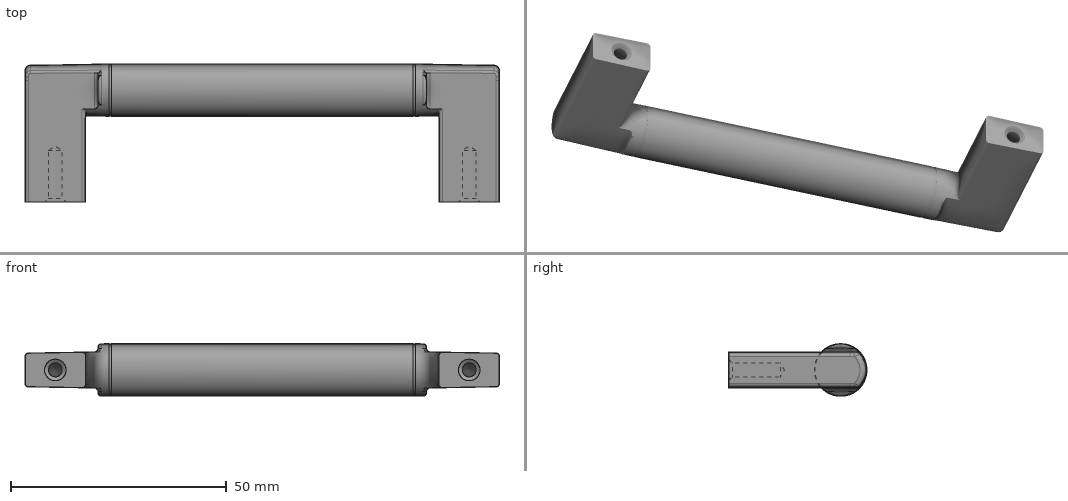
import cadquery as cq
import math

length = 110.0
foot_y = -26.0

tube_radius = 6.1
tube_half_length = 35.6
groove_width = 0.6
groove_depth = 0.1
hub_radius = tube_radius

leg_width = 14.0
leg_outer_x = length / 2
leg_inner_x = leg_outer_x - leg_width
edge_radius = 0.8
corner_radius = 0.4
end_rounding = 1.3

hub_outer_x = 38.1
shoulder_radius = 0.8
blend_back_y = 3.9

draft = math.tan(math.radians(1.0))
arm_length = leg_outer_x - tube_half_length
arm_half_thickness = 4.25

hole_x = leg_outer_x - leg_width / 2
hole_radius = 1.6
hole_mouth_radius = 2.5
hole_depth = 12.0
drill_tip_half_angle = 59
mouth_depth = hole_mouth_radius - hole_radius
drill_tip_depth = hole_radius / math.tan(math.radians(drill_tip_half_angle))


def half_thickness_at(x):
    return arm_half_thickness - draft * (x - tube_half_length)


def make_tube():
    """Grip tube with a shallow turned-down band at each end, next to the hubs."""
    shoulder_x = tube_half_length - groove_width
    core = (
        cq.Workplane("YZ", origin=(-tube_half_length, 0, 0))
        .circle(tube_radius - groove_depth)
        .extrude(2 * tube_half_length)
    )
    grip = (
        cq.Workplane("YZ", origin=(-shoulder_x, 0, 0))
        .circle(tube_radius)
        .extrude(2 * shoulder_x)
    )
    return core.union(grip)


def make_round_bar(end_x):
    """Drafted round bar on the tube axis, from the tube end out to end_x."""
    end_radius = hub_radius - draft * (end_x - tube_half_length)
    profile = [
        (tube_half_length, 0),
        (tube_half_length, hub_radius),
        (end_x, end_radius),
        (end_x, 0),
    ]
    return cq.Workplane("XZ").polyline(profile).close().revolve(360, (0, 0), (1, 0))


def make_arm_blank():
    """Tapered neck and leg at the +X end, cut flat above and below."""
    neck = make_round_bar(leg_outer_x)
    leg = (
        cq.Workplane("XY", origin=(0, 0, -tube_radius))
        .moveTo(leg_inner_x, foot_y)
        .lineTo(leg_outer_x, foot_y)
        .lineTo(leg_outer_x, 0)
        .lineTo(leg_inner_x, 0)
        .close()
        .extrude(2 * tube_radius)
    )
    end_half_thickness = half_thickness_at(leg_outer_x)
    slab = (
        cq.Workplane("XZ", origin=(0, -foot_y, 0))
        .polyline([
            (tube_half_length, -arm_half_thickness),
            (leg_outer_x, -end_half_thickness),
            (leg_outer_x, end_half_thickness),
            (tube_half_length, arm_half_thickness),
        ])
        .close()
        .extrude(-2 * foot_y)
    )
    return neck.union(leg).intersect(slab)


def round_arm(arm):
    """Round the back of the outer end, then the long edges of the leg and neck."""
    arm = arm.faces(">X").edges(">Y").fillet(end_rounding)
    margin = edge_radius
    leg_edges = cq.selectors.BoxSelector(
        (leg_inner_x - margin, foot_y + margin, -tube_radius),
        (leg_outer_x + margin, -hub_radius, tube_radius),
    )
    back_edges = cq.selectors.BoxSelector(
        (tube_half_length + margin, margin, -tube_radius),
        (leg_outer_x + margin, tube_radius, tube_radius),
    )
    inner_corner = cq.selectors.BoxSelector(
        (leg_inner_x - margin, -hub_radius, -margin),
        (leg_inner_x + margin, -hub_radius / 2, margin),
    )
    flats = arm.faces("<Z or >Z")
    arm = flats.edges(leg_edges + back_edges).fillet(edge_radius)
    return arm.edges(inner_corner).fillet(corner_radius)


def make_hub():
    """Round collar that meets the tube, with its outer shoulder rounded."""
    return make_round_bar(hub_outer_x).faces(">X").edges().fillet(shoulder_radius)


def make_shoulder_blend():
    """Hollow fillets that carry the arm flats up into the hub."""
    blend_x = hub_outer_x + shoulder_radius
    blend_bottom = half_thickness_at(blend_x)
    blend_top = blend_bottom + shoulder_radius
    arc_offset = shoulder_radius * (1 - math.sqrt(0.5))
    blend_width = blend_back_y + hub_radius
    upper = (
        cq.Workplane("XZ", origin=(0, blend_back_y, 0))
        .moveTo(blend_x, blend_bottom)
        .threePointArc(
            (hub_outer_x + arc_offset, blend_bottom + arc_offset),
            (hub_outer_x, blend_top),
        )
        .lineTo(tube_half_length, blend_top)
        .lineTo(tube_half_length, blend_bottom)
        .close()
        .extrude(blend_width)
    )
    upper = upper.intersect(make_round_bar(leg_outer_x))
    return upper.union(upper.mirror("XY"))


def make_fixing_hole():
    """Drilled hole with a countersunk mouth, opening in the foot of the leg."""
    profile = [
        (hole_x, foot_y),
        (hole_x + hole_mouth_radius, foot_y),
        (hole_x + hole_radius, foot_y + mouth_depth),
        (hole_x + hole_radius, foot_y + hole_depth),
        (hole_x, foot_y + hole_depth + drill_tip_depth),
    ]
    return (
        cq.Workplane("XY")
        .polyline(profile)
        .close()
        .revolve(360, (hole_x, foot_y), (hole_x, 0))
    )


def make_bracket(side):
    """One complete end bracket: side is +1 for the +X end, -1 for the -X end."""
    arm = round_arm(make_arm_blank())
    bracket = arm.union(make_hub()).union(make_shoulder_blend()).cut(make_fixing_hole())
    if side < 0:
        bracket = bracket.mirror("YZ")
    return bracket


tube = make_tube().solids()
brackets = [make_bracket(side).solids().val() for side in (-1, 1)]

result = cq.Compound.makeCompound([tube.val(), *brackets])